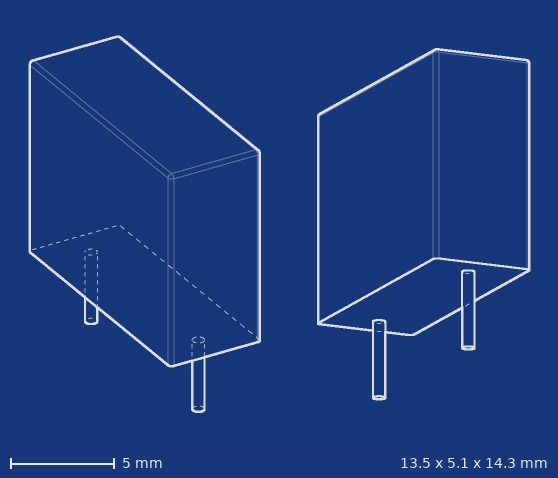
import cadquery as cq

case_length = 13.5
case_width = 5.1
case_height = 10.5
edge_radius = 0.2

total_height = 14.3
lead_length = total_height - case_height
lead_diameter = 0.6
lead_pitch = 10.2


def make_case():
    """Box with rounded upright and top edges and a sharp-edged flat base."""
    box = cq.Workplane("XY").box(
        case_length, case_width, case_height, centered=(True, True, False)
    )
    return box.edges("|Z or >Z").fillet(edge_radius)


def make_lead(x):
    """Straight round lead whose top end meets the base of the case."""
    return cq.Workplane("XY").center(x, 0).circle(lead_diameter / 2).extrude(-lead_length)


case = make_case()
leads = [make_lead(side * lead_pitch / 2) for side in (-1, 1)]

result = cq.Compound.makeCompound([case.val(), *[lead.val() for lead in leads]])